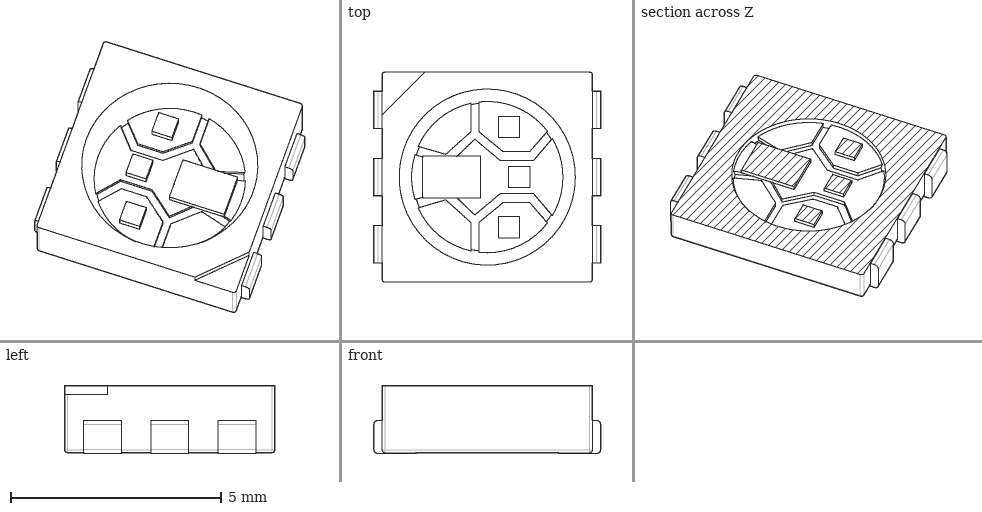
import cadquery as cq

total_length = 5.4
total_height = 1.62
body_side = 5.0
standoff = 0.02
body_edge_radius = 0.07

mark_leg = 1.02
mark_depth = 0.21

lead_width = 0.895
lead_height = 0.795
lead_pitch = 1.6
lead_reach = 1.005
lead_edge_radius = 0.1
leads_per_side = 3

cup_top_radius = 2.095
cup_floor_radius = 1.765
cup_depth = 1.0
floor_z = total_height - cup_depth

pad_thickness = 0.1
pad_top_z = floor_z + pad_thickness

chip_side = 0.5
chip_height = 0.2
side_chip_x = 0.52
side_chip_y = 1.195
middle_chip_x = 0.76
block_length = 1.375
block_width = 1.0
block_height = 0.18
block_x = -0.85

outside = 2.16

rear_pad_outline = [(-0.39, outside), (-0.39, 1.08), (-0.99, 0.54), (-outside, 0.885), (-outside, outside)]
front_pad_outline = [(-0.2, outside), (-0.2, 1.08), (0.38, 0.605), (1.01, 0.605),
                     (outside, 1.93), (outside, outside)]
middle_pad_edge = [(-outside, 0.665), (-0.925, 0.295), (-0.295, 0.9), (0.31, 0.395), (1.1, 0.395), (outside, 1.635)]


def mirror_across_x(points):
    """Reflect an outline to the other side of the X axis, in reverse order."""
    return [(x, -y) for x, y in reversed(points)]


def make_body():
    """Square block with rounded upright and bottom edges."""
    block = cq.Workplane("XY").workplane(offset=standoff)
    block = block.rect(body_side, body_side).extrude(total_height - standoff)
    return block.edges("|Z or <Z").fillet(body_edge_radius)


def make_corner_mark():
    """Triangular step cut from the top of the -X, +Y corner."""
    half = body_side / 2
    corner = [(-half, half), (-half + mark_leg, half), (-half, half - mark_leg)]
    step = cq.Workplane("XY").workplane(offset=total_height - mark_depth)
    return step.polyline(corner).close().extrude(mark_depth)


def make_cup():
    """Truncated cone that opens upward."""
    profile = [(0, floor_z), (cup_floor_radius, floor_z), (cup_top_radius, total_height), (0, total_height)]
    return cq.Workplane("XZ").polyline(profile).close().revolve(360, (0, 0), (0, 1))


def make_lead(side, y):
    """One rounded lead; side is -1 for the -X face and +1 for the +X face."""
    x = side * (total_length - lead_reach) / 2
    lead = cq.Workplane("XY").box(lead_reach, lead_width, lead_height, centered=(True, True, False))
    outer_face = ">X" if side > 0 else "<X"
    lead = lead.faces(outer_face).edges("|Y").fillet(lead_edge_radius)
    return lead.translate((x, y, 0))


def make_pads(cup):
    """Five flat pads, separated by gaps and trimmed to the cup wall."""
    outlines = [
        rear_pad_outline,
        mirror_across_x(rear_pad_outline),
        front_pad_outline,
        mirror_across_x(front_pad_outline),
        middle_pad_edge + mirror_across_x(middle_pad_edge),
    ]
    pads = []
    for outline in outlines:
        pad = cq.Workplane("XY").workplane(offset=floor_z).polyline(outline).close().extrude(pad_thickness)
        pads.append(pad.intersect(cup))
    return pads


def make_mounted_box(length, width, height, x, y):
    """Rectangular component that stands on the pads."""
    box = cq.Workplane("XY").box(length, width, height, centered=(True, True, False))
    return box.translate((x, y, pad_top_z))


cup = make_cup()
result = make_body().cut(make_corner_mark())

for side in (-1, 1):
    for index in range(leads_per_side):
        lead_y = (index - (leads_per_side - 1) / 2) * lead_pitch
        result = result.union(make_lead(side, lead_y))

result = result.cut(cup)

for pad in make_pads(cup):
    result = result.union(pad)

result = result.union(make_mounted_box(block_length, block_width, block_height, block_x, 0))
for chip_x, chip_y in [(side_chip_x, side_chip_y), (middle_chip_x, 0), (side_chip_x, -side_chip_y)]:
    result = result.union(make_mounted_box(chip_side, chip_side, chip_height, chip_x, chip_y))